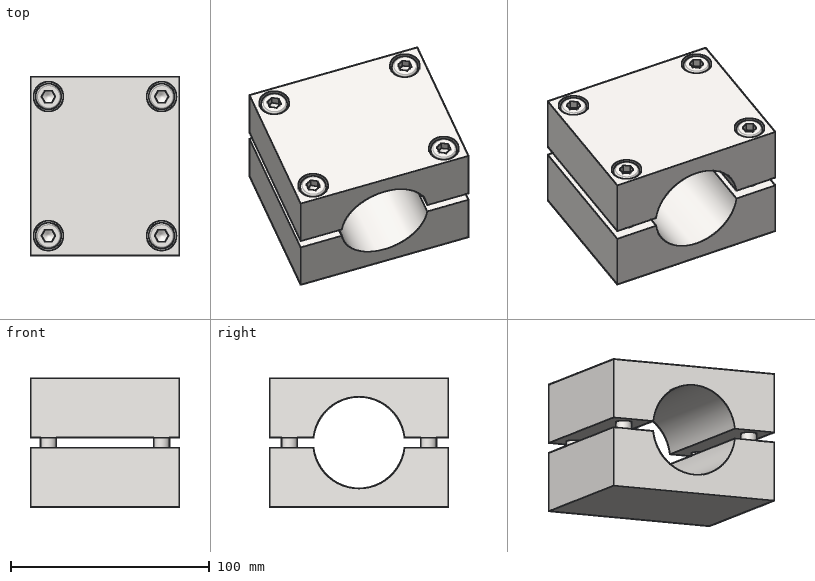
import cadquery as cq
import math

length = 90.0
width = 75.0
block_height = 30.0
gap = 5.0
bore_diameter = 46.0

screw_pitch_x = 57.0
screw_pitch_y = 70.0
shank_diameter = 8.0
head_diameter = 13.0
head_height = shank_diameter
head_edge_radius = 0.8
counterbore_diameter = 15.0
socket_across_flats = 6.0
socket_depth = 4.0
socket_tip_angle = 120.0

total_height = 2 * block_height + gap
top_z = total_height / 2
head_seat_z = top_z - head_height
socket_across_corners = socket_across_flats / math.cos(math.radians(30))
screw_positions = [
    (x * screw_pitch_x / 2, y * screw_pitch_y / 2) for x in (-1, 1) for y in (-1, 1)
]


def clamp_halves():
    """Two equal blocks, split by a gap, around a cylindrical bore along X."""
    blocks = cq.Workplane("XY").box(width, length, total_height)
    split = cq.Workplane("XY").box(width, length, gap)
    bore = cq.Workplane("YZ").circle(bore_diameter / 2).extrude(width / 2, both=True)
    return blocks.cut(split).cut(bore)


def counterbores():
    """Pockets in the top face that clear the screw heads."""
    return (
        cq.Workplane("XY", origin=(0, 0, head_seat_z))
        .pushPoints(screw_positions)
        .circle(counterbore_diameter / 2)
        .extrude(head_height)
    )


def socket():
    """Hexagonal recess with a conical floor, opening at the top of a screw head."""
    cone_radius = socket_across_corners / 2
    cone_depth = cone_radius / math.tan(math.radians(socket_tip_angle / 2))
    full_depth = socket_depth + cone_depth
    hexagon = (
        cq.Workplane("XY", origin=(0, 0, top_z))
        .polygon(6, socket_across_corners)
        .extrude(-full_depth)
    )
    drill_envelope = (
        cq.Workplane("XZ")
        .moveTo(0, top_z)
        .lineTo(cone_radius, top_z)
        .lineTo(cone_radius, top_z - socket_depth)
        .lineTo(0, top_z - full_depth)
        .close()
        .revolve(360, (0, 0, 0), (0, 1, 0))
    )
    return hexagon.intersect(drill_envelope)


def screw():
    """Screw with its head flush with the top face, its shank ending inside the lower block."""
    head = (
        cq.Workplane("XY", origin=(0, 0, head_seat_z))
        .circle(head_diameter / 2)
        .extrude(head_height)
        .faces(">Z").edges().fillet(head_edge_radius)
    )
    shank = (
        cq.Workplane("XY", origin=(0, 0, head_seat_z))
        .circle(shank_diameter / 2)
        .extrude(-(head_seat_z + block_height / 2))
    )
    return head.union(shank).cut(socket())


result = clamp_halves().cut(counterbores())
for x, y in screw_positions:
    result = result.union(screw().translate((x, y, 0)))